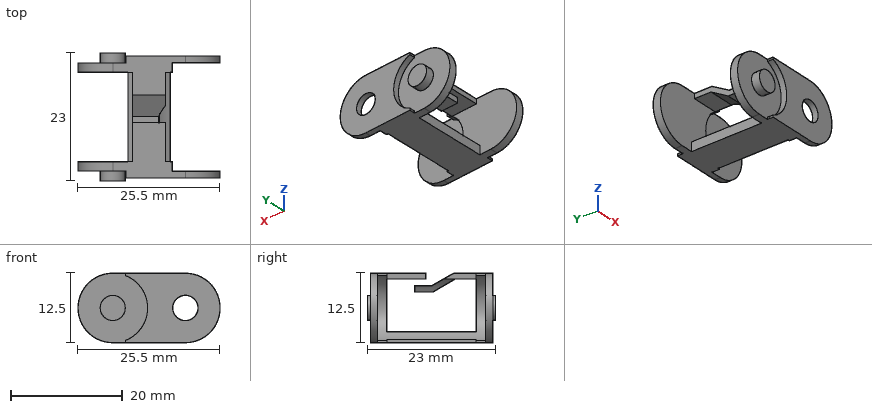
import cadquery as cq

length = 25.5
height = 12.5
end_radius = height / 2
pin_x = -(length / 2 - end_radius)
hole_x = -pin_x
pin_radius = 2.25

inner_face_y = 8.0
step_y = 9.7
outer_face_y = 10.96
pin_tip_y = 11.5

plate_overlap_x = 4.18
bar_half_width = 3.8
tongue_half_width = 2.98

bar_thickness = 2.01
tongue_thickness = 1.1
straight_tip_y = -1.02
bend_start_y = 3.98
bend_end_y = 0.05
underside_bend_shift = 0.23
bent_tip_y = -3.03
bend_drop = 2.25
bent_tip_thickness = 1.15


def box_between(x0, x1, y0, y1, z0, z1):
    size = (x1 - x0, y1 - y0, z1 - z0)
    return cq.Workplane("XY").box(*size, centered=False).translate((x0, y0, z0))


def y_cylinder(x, radius, y0, y1):
    plane = cq.Workplane("XZ", origin=(x, y0, 0))
    return plane.circle(radius).extrude(-(y1 - y0))


def inner_plate():
    """Full disc at the pin end; the far end is relieved later."""
    disc = y_cylinder(pin_x, end_radius, inner_face_y, step_y)
    web = box_between(
        pin_x, plate_overlap_x, inner_face_y, step_y, -end_radius, end_radius
    )
    return disc.union(web)


def outer_plate():
    """Rounded plate with a hole, cut back concentric with the pin."""
    web = box_between(
        -plate_overlap_x, hole_x, step_y, outer_face_y, -end_radius, end_radius
    )
    end_disc = y_cylinder(hole_x, end_radius, step_y, outer_face_y)
    pin_clearance = y_cylinder(pin_x, end_radius, step_y, outer_face_y)
    hole = y_cylinder(hole_x, pin_radius, step_y, outer_face_y)
    return web.union(end_disc).cut(pin_clearance).cut(hole)


def bent_tongue():
    """Strip from the +Y plate that dips below the opposite strip."""
    top_z = end_radius
    low_z = top_z - bend_drop
    profile = [
        (step_y, top_z),
        (bend_start_y, top_z),
        (bend_end_y, low_z),
        (bent_tip_y, low_z),
        (bent_tip_y, low_z - bent_tip_thickness),
        (bend_end_y + underside_bend_shift, low_z - bent_tip_thickness),
        (bend_start_y + underside_bend_shift, top_z - tongue_thickness),
        (step_y, top_z - tongue_thickness),
    ]
    plane = cq.Workplane("YZ")
    return plane.polyline(profile).close().extrude(tongue_half_width, both=True)


def straight_tongue():
    """Flat strip from the -Y plate."""
    return box_between(
        -tongue_half_width, tongue_half_width, -step_y, straight_tip_y,
        end_radius - tongue_thickness, end_radius,
    )


def bottom_bar():
    return box_between(
        -bar_half_width, bar_half_width, -step_y, step_y,
        -end_radius, -end_radius + bar_thickness,
    )


inner_side = inner_plate()
body = inner_side.union(inner_side.mirror("XZ"))
body = body.union(bottom_bar()).union(straight_tongue()).union(bent_tongue())
body = body.cut(y_cylinder(hole_x, end_radius, -step_y, step_y))

outer_side = outer_plate()
pin = y_cylinder(pin_x, pin_radius, step_y, pin_tip_y)
for feature in (outer_side, pin):
    body = body.union(feature).union(feature.mirror("XZ"))

result = body